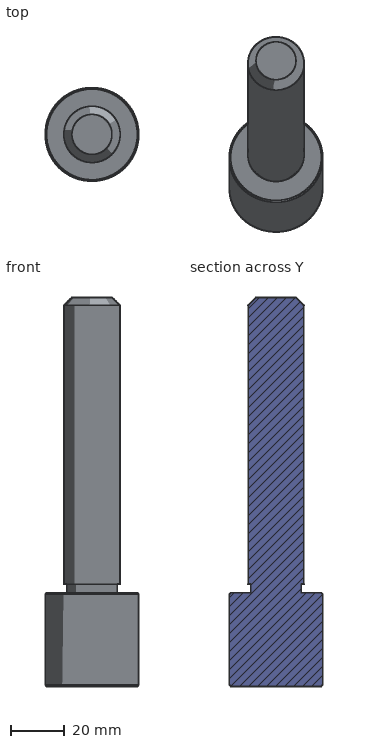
import cadquery as cq

total_length = 145.0
head_diameter = 35.0
head_height = 35.0
head_chamfer = 0.6

shank_diameter = 21.0
shank_chamfer = 3.0
neck_diameter = 19.0
neck_height = 3.2

shank_length = total_length - head_height - neck_height


def cylinder(diameter, height, base_z):
    """Upright cylinder on the Z axis, starting at base_z."""
    return cq.Workplane("XY").workplane(offset=base_z).circle(diameter / 2).extrude(height)


head = cylinder(head_diameter, head_height, 0).edges().chamfer(head_chamfer)

neck = cylinder(neck_diameter, neck_height, head_height)

shank = cylinder(shank_diameter, shank_length, head_height + neck_height)
shank = shank.faces(">Z").chamfer(shank_chamfer)

result = head.union(neck).union(shank)